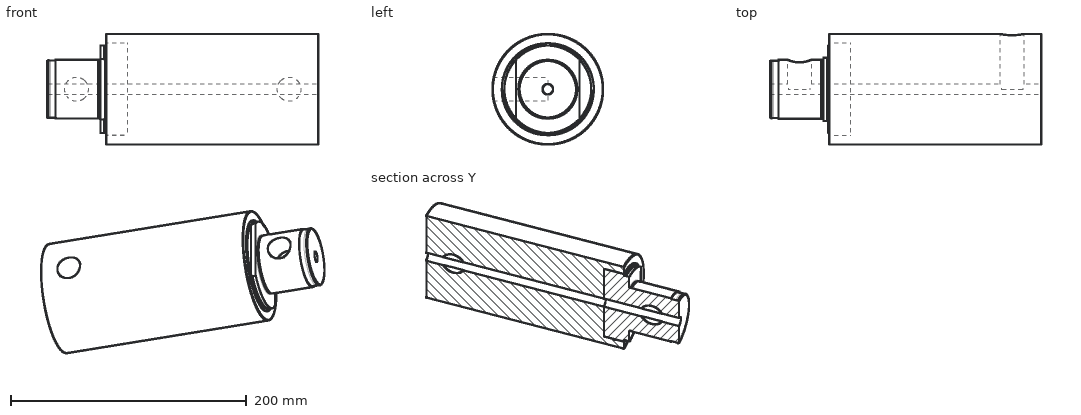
import cadquery as cq

total_length = 230.0
housing_diameter = 94.0
housing_radius = housing_diameter / 2
housing_front = 50.0
housing_chamfer = 0.5

tip_face_radius = 24.0
tip_rim_radius = 24.5
tip_radius = 24.4
tip_chamfer_length = 1.0
tip_taper_end = 3.0
tip_end = 7.1

rod_radius = 25.0
rod_end = 43.0
rod_undercut_depth = 0.5
rod_undercut_fillet = 1.0

collar_front = 45.0
collar_radius = 37.3
collar_end = 48.0
collar_undercut_depth = 0.5
collar_undercut_fillet = 1.0
flats_distance = 53.8
flats_end = 49.2

shank_radius = 39.0
shank_length = 18.5
shank_end = housing_front + shank_length

bore_radius = 4.4
port_radius = 10.1
rod_port_x = 24.8
housing_port_x = total_length - rod_port_x


def cylinder_x(radius, start, end):
    return cq.Workplane("YZ", origin=(start, 0, 0)).circle(radius).extrude(end - start)


def side_port(x):
    """Round cutter from the axis out through the +Y side."""
    return cq.Workplane("XZ", origin=(x, 0, 0)).circle(port_radius).extrude(-housing_radius)


def add_undercut(profile, floor_radius, fillet, wall_x):
    """Continue the profile down a cone to the undercut floor and up a fillet to the wall."""
    profile = profile.lineTo(wall_x - fillet, floor_radius)
    return profile.radiusArc((wall_x, floor_radius + fillet), -fillet)


def revolved_rod():
    profile = (
        cq.Workplane("XZ")
        .lineTo(0, tip_face_radius)
        .lineTo(tip_chamfer_length, tip_rim_radius)
        .lineTo(tip_taper_end, tip_radius)
        .lineTo(tip_end, tip_radius)
        .lineTo(tip_end, rod_radius)
        .lineTo(rod_end, rod_radius)
    )
    profile = add_undercut(profile, rod_radius - rod_undercut_depth, rod_undercut_fillet, collar_front)
    profile = profile.lineTo(collar_front, collar_radius).lineTo(collar_end, collar_radius)
    profile = add_undercut(
        profile, collar_radius - collar_undercut_depth, collar_undercut_fillet, housing_front
    )
    profile = profile.lineTo(housing_front, shank_radius).lineTo(shank_end, shank_radius).lineTo(shank_end, 0)
    return profile.close().revolve(360, (0, 0, 0), (1, 0, 0))


def wrench_flat(side):
    """Cutter for the flat on one side: +1 for +Y, -1 for -Y."""
    thickness = shank_radius
    return cq.Workplane("XY").box(
        flats_end - collar_front, thickness, 2 * shank_radius, centered=(False, True, True)
    ).translate((collar_front, side * (flats_distance + thickness) / 2, 0))


def make_rod():
    rod = revolved_rod()
    for side in (1, -1):
        rod = rod.cut(wrench_flat(side))
    return rod.cut(cylinder_x(bore_radius, 0, shank_end)).cut(side_port(rod_port_x))


def make_housing():
    barrel = cylinder_x(housing_radius, housing_front, total_length).edges().chamfer(housing_chamfer)
    barrel = barrel.cut(cylinder_x(shank_radius, housing_front, shank_end))
    barrel = barrel.cut(cylinder_x(bore_radius, shank_end, total_length))
    return barrel.cut(side_port(housing_port_x))


rod = make_rod().solids().val()
housing = make_housing().solids().val()
result = cq.Compound.makeCompound([rod, housing])